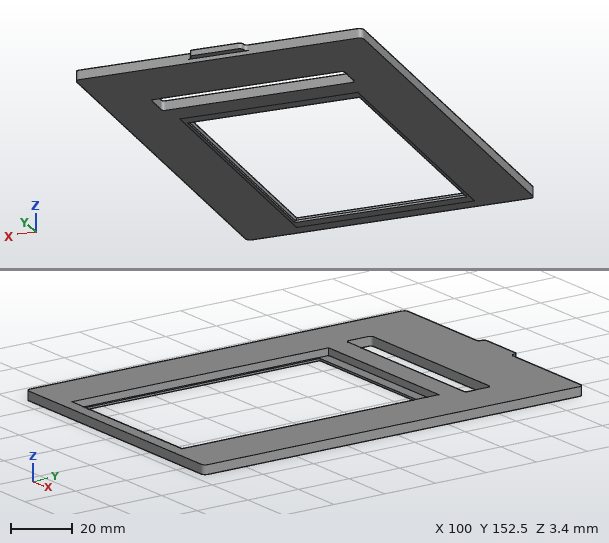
import cadquery as cq

plate_width = 100.0
total_length = 152.5
tab_reach = 2.6
plate_length = total_length - tab_reach
plate_thickness = 3.4
corner_radius = 1.7

tab_width = 18.3
tab_thickness = 2.0
tab_radius = tab_reach / 2

slot_length = 67.1
slot_width = 10.0
slot_edge_distance = 25.0
slot_radius = 1.0

window_width = 61.9
window_length = 101.4
window_edge_distance = 4.7
opening_width = 59.8
opening_length = 93.0
frame_thickness = 0.8

slot_center_y = plate_length - slot_edge_distance - slot_width / 2
window_center_y = window_edge_distance + window_length / 2


def block(width, length, height, center_y):
    """Block standing on Z = 0, centred on X."""
    return cq.Workplane("XY").center(0, center_y).rect(width, length).extrude(height)


def make_tab():
    """Tab with rounded outer corners and concave fillets where it leaves the plate."""
    half = tab_width / 2
    root = half + tab_radius
    bend = tab_radius * (1 - 0.5 ** 0.5)
    middle_y = plate_length + tab_radius
    return (
        cq.Workplane("XY", origin=(0, 0, plate_thickness - tab_thickness))
        .moveTo(-root, plate_length)
        .threePointArc((-half - bend, plate_length + bend), (-half, middle_y))
        .threePointArc((-half + bend, total_length - bend), (-half + tab_radius, total_length))
        .lineTo(half - tab_radius, total_length)
        .threePointArc((half - bend, total_length - bend), (half, middle_y))
        .threePointArc((half + bend, plate_length + bend), (root, plate_length))
        .lineTo(root, plate_length - tab_reach)
        .lineTo(-root, plate_length - tab_reach)
        .close()
        .extrude(tab_thickness)
    )


def make_plate():
    """Rounded plate with its tab, slot and window."""
    body = block(plate_width, plate_length, plate_thickness, plate_length / 2)
    body = body.edges("|Z").fillet(corner_radius)
    slot = block(slot_length, slot_width, plate_thickness, slot_center_y)
    slot = slot.edges("|Z").fillet(slot_radius)
    window = block(window_width, window_length, plate_thickness, window_center_y)
    return body.union(make_tab()).cut(slot).cut(window)


def make_frame():
    """Thin rectangular frame that fills the border of the window."""
    outer = block(window_width, window_length, frame_thickness, window_center_y)
    opening = block(opening_width, opening_length, frame_thickness, window_center_y)
    return outer.cut(opening)


plate = make_plate()
frame = make_frame()

result = cq.Compound.makeCompound([plate.val(), frame.val()])